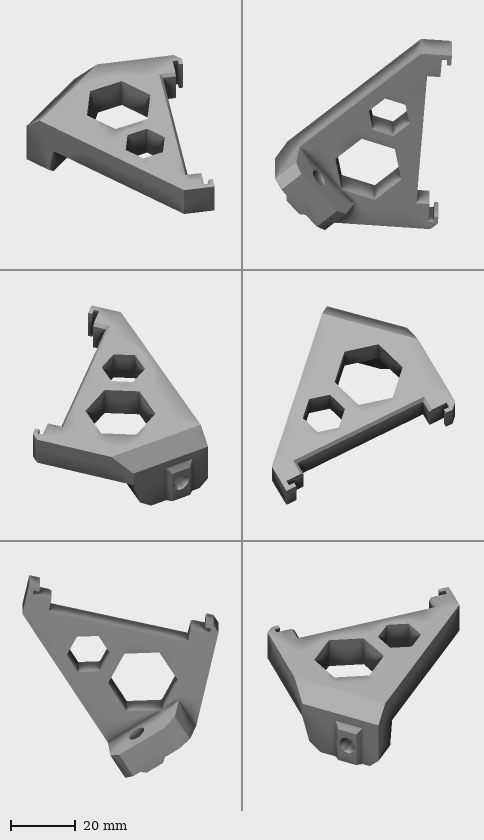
import cadquery as cq
import math

total_height = 22.0
depth = 47.85
plate_thickness = 10.1
plate_bottom = total_height - plate_thickness
corner_chamfer = 5.05
CUT_MARGIN = 0.7

back_offset = 25.8
hook_centre = -17.45
front_sum = 61.5
seat_sum = 68.6
lip_inner_sum = 71.0
lip_outer_sum = 72.85
post_half_span = 32.5
lip_half_span = 37.1
slot_half_span = 39.6
end_half_span = 41.9
diagonal_chamfer = 0.95
chamfer_spread = diagonal_chamfer * math.sqrt(2)

windows = [(20.95, 19.7, 18.7), (37.55, 10.25, 11.5)]

leg_foot_length = 8.15
leg_root_length = 10.05
leg_knee = (23.5, 3.2)
leg_foot_inner = 19.75
leg_foot_chamfer = 2.95

key_thickness = 1.3
key_width = 8.9
key_height = 13.95
key_side_bevel = 1.4
key_top_bevel = 1.95
key_y = 10.0

hole_radius = 2.7
hole_z = 6.8
hole_flat_depth = 2.9


def diagonal_point(across, along):
    """Convert (x + y, y - x) to (x, y)."""
    return ((across - along) / 2, (across + along) / 2)


def hook_points(side):
    """Post, seat, slot and lip of one hook, from the recess outwards."""
    corners = [
        (front_sum + chamfer_spread, post_half_span - chamfer_spread),
        (seat_sum, post_half_span - chamfer_spread),
        (seat_sum, slot_half_span),
        (lip_inner_sum, slot_half_span),
        (lip_inner_sum, lip_half_span),
        (lip_outer_sum, lip_half_span),
    ]
    return [diagonal_point(across, hook_centre + side * half) for across, half in corners]


def make_plate():
    end_offset = hook_centre - end_half_span
    back_end = lip_outer_sum - depth
    upper_hook = hook_points(1)
    lower_hook = hook_points(-1)
    outline = [(0, 0), (-end_offset, 0), diagonal_point(lip_outer_sum, end_offset)]
    outline += lower_hook[::-1] + upper_hook
    outline += [(back_end, depth), (depth - back_offset, depth), (0, back_offset)]
    plate = cq.Workplane("XY").workplane(offset=plate_bottom).polyline(outline).close()
    return plate.extrude(plate_thickness)


def make_recess_bevel():
    """Flared block that bevels the top edges of the diagonal recess."""

    def section(inset, z):
        half = post_half_span - inset
        inner = front_sum + inset
        corners = [
            diagonal_point(inner, hook_centre - half),
            diagonal_point(seat_sum, hook_centre - half),
            diagonal_point(seat_sum, hook_centre + half),
            diagonal_point(inner, hook_centre + half),
        ]
        return cq.Wire.makePolygon([cq.Vector(x, y, z) for x, y in corners], close=True)

    lower = section(chamfer_spread, total_height - diagonal_chamfer)
    upper = section(0, total_height)
    return cq.Workplane(cq.Solid.makeLoft([lower, upper], True))


def make_leg():
    side = (
        cq.Workplane("XZ")
        .polyline([(0, 0), (leg_foot_length, 0), (leg_root_length, plate_bottom), (0, plate_bottom)])
        .close()
        .extrude(-back_offset)
    )
    face = (
        cq.Workplane("YZ")
        .polyline([
            (leg_foot_chamfer, 0),
            (leg_foot_inner, 0),
            leg_knee,
            (back_offset, plate_bottom),
            (0, plate_bottom),
            (0, leg_foot_chamfer),
        ])
        .close()
        .extrude(leg_root_length)
    )
    return side.intersect(face)


def make_key():
    """Key with bevelled sides and top, standing proud of the leg."""
    plan = (
        cq.Workplane("XY")
        .polyline([
            (0, key_y - key_width / 2),
            (-key_thickness, key_y - key_width / 2 + key_side_bevel),
            (-key_thickness, key_y + key_width / 2 - key_side_bevel),
            (0, key_y + key_width / 2),
        ])
        .close()
        .extrude(key_height)
    )
    side = (
        cq.Workplane("XZ")
        .polyline([
            (0, 0),
            (-key_thickness, 0),
            (-key_thickness, key_height - key_top_bevel),
            (0, key_height),
        ])
        .close()
        .extrude(-depth)
    )
    return plan.intersect(side)


def make_corner_cut():
    return (
        cq.Workplane("XZ")
        .polyline([(0, total_height), (corner_chamfer, total_height), (0, total_height - corner_chamfer)])
        .close()
        .extrude(-depth)
    )


def make_window(x, y, across_flats):
    across_corners = across_flats / math.cos(math.pi / 6)
    return (
        cq.Workplane("XY")
        .workplane(offset=plate_bottom - CUT_MARGIN)
        .center(x, y)
        .polygon(6, across_corners)
        .extrude(plate_thickness + 2 * CUT_MARGIN)
    )


def make_hole():
    """Round hole whose lower part continues along 45-degree tangents to a flat."""
    tangent = hole_radius / math.sqrt(2)
    flat_half = hole_radius * math.sqrt(2) - hole_flat_depth
    return (
        cq.Workplane("YZ")
        .workplane(offset=-key_thickness - CUT_MARGIN)
        .center(key_y, hole_z)
        .moveTo(-tangent, -tangent)
        .threePointArc((0, hole_radius), (tangent, -tangent))
        .lineTo(flat_half, -hole_flat_depth)
        .lineTo(-flat_half, -hole_flat_depth)
        .close()
        .extrude(key_thickness + leg_root_length + 2 * CUT_MARGIN)
    )


result = make_plate().cut(make_recess_bevel())
result = result.union(make_leg()).cut(make_corner_cut()).union(make_key())
for window in windows:
    result = result.cut(make_window(*window))
result = result.cut(make_hole())